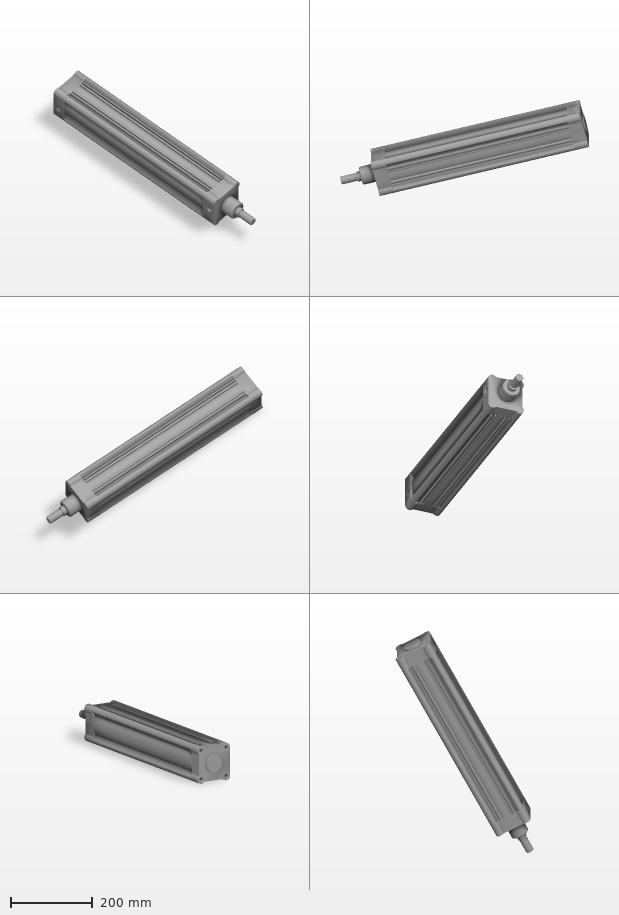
import cadquery as cq
import math

total_length = 618.0
pilot_length = 4.0
rear_cap_length = 33.5
front_cap_length = 36.0
body_length = 528.0
neck_length = 35.0
collar_length = 2.5
relief_length = 3.0
thread_length = 37.0

rear_cap_start = pilot_length
tube_start = rear_cap_start + rear_cap_length
front_cap_end = rear_cap_start + body_length
front_cap_start = front_cap_end - front_cap_length
tube_length = front_cap_start - tube_start
neck_end = front_cap_end + neck_length
thread_start = total_length - thread_length
flats_start = neck_end + collar_length
flats_end = thread_start - relief_length

half_width = 47.0
lobe_radius = 11.0
lobe_offset = half_width - lobe_radius
flank_offset = 42.5
corners = [(y, z) for y in (-lobe_offset, lobe_offset) for z in (-lobe_offset, lobe_offset)]

pilot_diameter = 45.0
pilot_chamfer = 0.5
neck_chamfer = 2.0
screw_hole_diameter = 9.0
screw_hole_chamfer = 0.5
screw_hole_depth = 18.5
port_diameter = 15.5
port_chamfer = 0.5
port_depth = 12.5
port_height = 9.0
port_inset = 16.0
rear_port_x = rear_cap_start + port_inset
front_port_x = front_cap_end - port_inset

barrel_radius = 43.0
lug_foot = (math.sqrt(2 * barrel_radius**2 - lobe_radius**2) - lobe_radius) / 2
lug_root = lug_foot + lobe_radius
rail_outer = 23.5
rail_inner = 12.5
rail_wall = 1.0
slot_outer = rail_outer - rail_wall
slot_inner = rail_inner + rail_wall
opening_outer = 21.0
opening_inner = 16.0
lip_height = 2.0
shoulder = 1.0
land_edge = 27.0
slot_floor = land_edge + lobe_radius

rod_diameter = 25.0
thread_diameter = 20.0
relief_diameter = 17.0
rod_flats = 22.0
thread_chamfer = 1.0


def section_plane(x):
    """Plane across the axis: local x is Y, local y is Z, extrusion runs toward +X."""
    return cq.Workplane(cq.Plane(origin=(x, 0, 0), xDir=(0, 1, 0), normal=(1, 0, 0)))


def disc(x, diameter, length):
    return section_plane(x).circle(diameter / 2).extrude(length)


def mirrored(shape, mirror_y, mirror_z):
    if mirror_y:
        shape = shape.mirror("XZ")
    if mirror_z:
        shape = shape.mirror("XY")
    return shape


def cap_block(x, length):
    """Block with a round lobe at each corner; the -Y side is flat, the others are set back."""
    core = (
        section_plane(x)
        .center((flank_offset - half_width) / 2, 0)
        .rect(half_width + flank_offset, 2 * lobe_offset)
        .extrude(length)
    )
    web = section_plane(x).rect(2 * lobe_offset, 2 * flank_offset).extrude(length)
    lobes = section_plane(x).pushPoints(corners).circle(lobe_radius).extrude(length)
    return core.union(web).union(lobes)


def blind_hole(mouth, diameter, chamfer, depth):
    """Round hole going in from the mouth plane, with a 45 degree chamfer around its rim."""
    hole = mouth.circle(diameter / 2).extrude(depth)
    rim = mouth.circle(diameter / 2 + chamfer).extrude(chamfer, taper=45)
    return hole.union(rim)


def port(x, z):
    """Air port going in from the -Y side."""
    mouth = cq.Workplane(cq.Plane(origin=(x, -half_width, z), xDir=(1, 0, 0), normal=(0, 1, 0)))
    return blind_hole(mouth, port_diameter, port_chamfer, port_depth)


def screw_holes():
    """One blind hole in each lobe of the rear cap."""
    mouths = section_plane(rear_cap_start).pushPoints(corners)
    return blind_hole(mouths, screw_hole_diameter, screw_hole_chamfer, screw_hole_depth)


def make_rear_cap():
    cap = cap_block(rear_cap_start, rear_cap_length)
    cap = cap.cut(screw_holes())
    pilot = disc(0, pilot_diameter, tube_start)
    cap = cap.union(pilot.faces("<X").chamfer(pilot_chamfer))
    return cap.cut(port(rear_port_x, -port_height))


def make_front_cap():
    cap = cap_block(front_cap_start, front_cap_length)
    neck = disc(front_cap_start, pilot_diameter, neck_end - front_cap_start)
    cap = cap.union(neck.faces(">X").chamfer(neck_chamfer))
    cap = cap.cut(disc(front_cap_start, rod_diameter, neck_end - front_cap_start))
    return cap.cut(port(front_port_x, port_height))


def corner_lug():
    """Lug at the +Y +Z corner, rounded outside, with flanks running back to the barrel."""
    return (
        section_plane(tube_start)
        .lineTo(lug_root, lug_foot)
        .lineTo(half_width, lobe_offset)
        .radiusArc((lobe_offset, half_width), -lobe_radius)
        .lineTo(lug_foot, lug_root)
        .close()
        .extrude(tube_length)
    )


def slot_rail():
    """U-shaped channel along the tube with a lip on each wall, narrowing its opening."""
    top = half_width
    lip_bottom = top - lip_height
    return (
        section_plane(tube_start)
        .polyline([
            (rail_inner, 0),
            (rail_inner, top - shoulder),
            (rail_inner + shoulder, top),
            (opening_inner, top),
            (opening_inner, lip_bottom),
            (slot_inner, lip_bottom),
            (slot_inner, slot_floor),
            (slot_outer, slot_floor),
            (slot_outer, lip_bottom),
            (opening_outer, lip_bottom),
            (opening_outer, top),
            (rail_outer, top),
            (rail_outer, slot_floor),
            (land_edge, slot_floor),
            (land_edge, 0),
        ])
        .close()
        .extrude(tube_length)
    )


def slot_space():
    """Room inside a rail, cut out of the barrel below it."""
    return (
        section_plane(tube_start)
        .center((slot_inner + slot_outer) / 2, (slot_floor + half_width) / 2)
        .rect(slot_outer - slot_inner, half_width - slot_floor)
        .extrude(tube_length)
    )


def make_tube():
    tube = disc(tube_start, 2 * barrel_radius, tube_length)
    lug = corner_lug()
    for quarter in range(4):
        tube = tube.union(lug.rotate((0, 0, 0), (1, 0, 0), 90 * quarter))
    space = slot_space()
    rail = slot_rail()
    for mirror_y in (False, True):
        for mirror_z in (False, True):
            tube = tube.cut(mirrored(space, mirror_y, mirror_z))
            tube = tube.union(mirrored(rail, mirror_y, mirror_z))
    return tube


def make_rod():
    rod = disc(front_cap_start, rod_diameter, flats_end - front_cap_start)
    flat_depth = (rod_diameter - rod_flats) / 2
    flat_length = flats_end - flats_start
    for side in (-1, 1):
        flat = cq.Workplane("XY").box(flat_length, flat_depth, rod_diameter)
        middle = ((flats_start + flats_end) / 2, side * (rod_flats + flat_depth) / 2, 0)
        rod = rod.cut(flat.translate(middle))
    rod = rod.union(disc(flats_end, relief_diameter, relief_length))
    thread = disc(thread_start, thread_diameter, thread_length)
    return rod.union(thread.faces(">X").chamfer(thread_chamfer))


rear_cap = make_rear_cap()
tube = make_tube()
front_cap = make_front_cap()
rod = make_rod()

result = cq.Compound.makeCompound([rear_cap.val(), tube.val(), front_cap.val(), rod.val()])